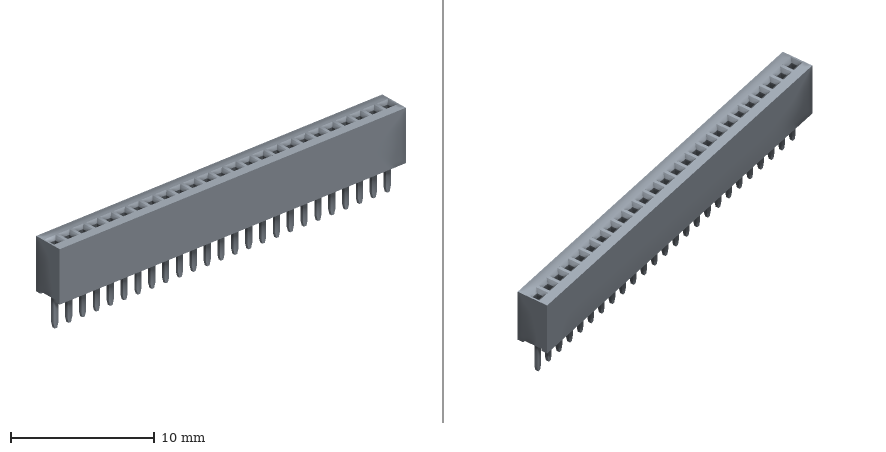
import cadquery as cq

contact_count = 25
row_length = 31.75
pitch = row_length / contact_count
overall_height = 7.0

housing_width = 2.55
housing_height = 4.4
rail_width = 0.48
rail_height = 0.2

funnel_mouth = 1.02
hole_side = 0.5
funnel_depth = (funnel_mouth - hole_side) / 2
hole_depth = 1.27

blade_thickness = 0.25
blade_width = 0.45
blade_top_drop = 0.65
tip_width = 0.22
tip_length = 0.4

housing_bottom = overall_height - housing_height
housing_underside = housing_bottom + rail_height
funnel_bottom = overall_height - funnel_depth
blade_top = funnel_bottom - blade_top_drop

contact_places = [(0, (i - (contact_count - 1) / 2) * pitch) for i in range(contact_count)]


def make_housing():
    block = cq.Workplane("XY", origin=(0, 0, housing_bottom)).box(
        housing_width, row_length, housing_height, centered=(True, True, False)
    )
    channel = cq.Workplane("XY", origin=(0, 0, housing_bottom)).box(
        housing_width - 2 * rail_width, row_length, rail_height, centered=(True, True, False)
    )
    return block.cut(channel)


def make_socket():
    funnel = (
        cq.Workplane("XY", origin=(0, 0, funnel_bottom))
        .rect(hole_side, hole_side)
        .workplane(offset=funnel_depth)
        .rect(funnel_mouth, funnel_mouth)
        .loft(ruled=True)
    )
    hole = cq.Workplane("XY", origin=(0, 0, funnel_bottom)).rect(hole_side, hole_side).extrude(-hole_depth)
    return funnel.union(hole)


def make_contact():
    outline = [
        (-blade_width / 2, blade_top),
        (-blade_width / 2, tip_length),
        (-tip_width / 2, 0),
        (tip_width / 2, 0),
        (blade_width / 2, tip_length),
        (blade_width / 2, blade_top),
    ]
    return cq.Workplane("YZ").polyline(outline).close().extrude(blade_thickness / 2, both=True)


def at_every_contact(feature):
    shape = feature.val()
    return cq.Workplane("XY").pushPoints(contact_places).eachpoint(lambda place: shape.moved(place))


result = (
    make_housing()
    .cut(at_every_contact(make_socket()))
    .union(at_every_contact(make_contact()))
)